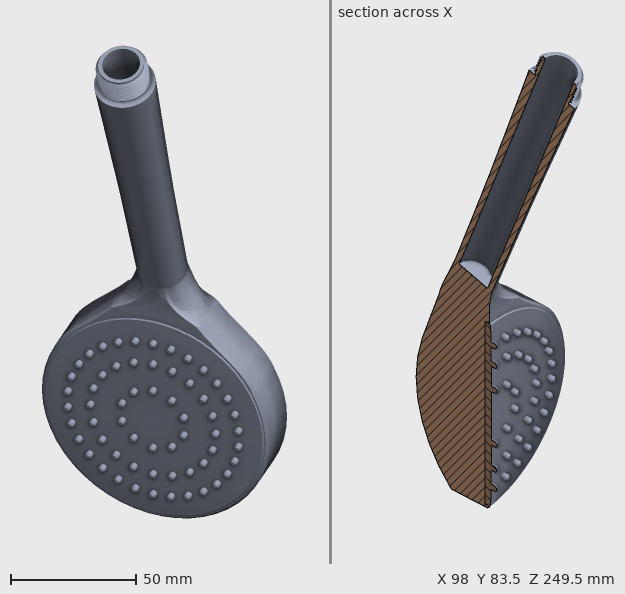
import cadquery as cq
import math


head_diameter = 98.0
head_radius = head_diameter / 2
rim_depth = 20.0
dome_height = 18.2
edge_chamfer = 1.2
dome_radius = (head_radius**2 + dome_height**2) / (2 * dome_height)
dome_center_y = rim_depth + dome_height - dome_radius

plate_radius = 47.2
plate_thickness = 2.5
plate_edge_chamfer = 0.5
plate_crown = 0.5
plate_crown_rim = plate_radius - plate_edge_chamfer
plate_crown_radius = (plate_crown_rim**2 + plate_crown**2) / (2 * plate_crown)
nozzle_diameter = 3.0
nozzle_height = 2.7
nozzle_root = 1.5
nozzle_chamfer = 0.7
nozzle_rings = [(14.0, 10), (27.0, 20), (37.0, 30)]

handle_tilt = 18.9
handle_base_y = 8.5
handle_base_z = 67.6
handle_base_radius = 10.2
lower_joint_height = 52.0
lower_joint_radius = 10.7
upper_joint_height = 75.4
upper_joint_radius = 11.2
shoulder_height = 124.8
shoulder_radius = 12.5
bore_diameter = 15.2

thread_length = 12.5
thread_radius = 10.5
thread_root_radius = 9.2
thread_pitch = 1.7
thread_turns = 6
thread_runout = (thread_length - thread_turns * thread_pitch) / 2

flank_angle = math.radians(54)
flank_radius = 45.7
flank_center_x = (head_radius + flank_radius) * math.cos(flank_angle)
flank_center_z = (head_radius + flank_radius) * math.sin(flank_angle)
flank_start_z = head_radius * math.sin(flank_angle)
ridge_angle = math.radians(17.5)
neck_start_z = dome_radius * math.sin(ridge_angle)
neck_start_ridge_y = dome_center_y + dome_radius * math.cos(ridge_angle)
lower_neck_heights = [neck_start_z, (neck_start_z + flank_start_z) / 2, flank_start_z, head_radius]
neck_waist_z = 57.5
neck_waist_corner = 7.5
front_corner_angle = 30.0
chamfer_corner_angle = 38.0
back_corner_angle = 30.0


def neck_half_width(z):
    if z <= flank_start_z:
        return math.sqrt(head_radius**2 - z**2)
    return flank_center_x - math.sqrt(flank_radius**2 - (z - flank_center_z) ** 2)


def ridge_y(z):
    return neck_start_ridge_y - (z - neck_start_z) * math.tan(ridge_angle)


def section_front(z, front_half_width):
    """Level workplane with the straight front edge of a neck section."""
    level_plane = cq.Plane((0, 0, z), (1, 0, 0), (0, 0, 1))
    return cq.Workplane(level_plane).moveTo(-front_half_width, 0).lineTo(front_half_width, 0)


def neck_section(z):
    """Section with a chamfered front, straight sides and an arched back."""
    half_width = neck_half_width(z)
    return (
        section_front(z, half_width - edge_chamfer)
        .lineTo(half_width, edge_chamfer)
        .lineTo(half_width, rim_depth)
        .threePointArc((0, ridge_y(z)), (-half_width, rim_depth))
        .lineTo(-half_width, edge_chamfer)
        .close()
        .val()
    )


def neck_waist_section():
    """Section with a chamfered front, rounded sides and an arched back."""
    half_width = neck_half_width(neck_waist_z)
    corner = neck_waist_corner
    return (
        section_front(neck_waist_z, corner - edge_chamfer)
        .lineTo(corner, edge_chamfer)
        .threePointArc((half_width, rim_depth / 2), (corner, rim_depth))
        .threePointArc((0, ridge_y(neck_waist_z)), (-corner, rim_depth))
        .threePointArc((-half_width, rim_depth / 2), (-corner, edge_chamfer))
        .close()
        .val()
    )


def on_handle_circle(angle_from_front):
    angle = math.radians(angle_from_front)
    return (handle_base_radius * math.sin(angle), -handle_base_radius * math.cos(angle))


def handle_base_section():
    """Lower end circle of the handle, divided into one arc for each side of a neck section."""
    tilt = math.radians(handle_tilt)
    base_plane = cq.Plane(
        (0, handle_base_y, handle_base_z), (1, 0, 0), (0, -math.sin(tilt), math.cos(tilt))
    )
    corners = [
        -front_corner_angle,
        front_corner_angle,
        chamfer_corner_angle,
        180 - back_corner_angle,
        180 + back_corner_angle,
        360 - chamfer_corner_angle,
        360 - front_corner_angle,
    ]
    section = cq.Workplane(base_plane).moveTo(*on_handle_circle(corners[0]))
    for start, end in zip(corners, corners[1:]):
        section = section.threePointArc(on_handle_circle((start + end) / 2), on_handle_circle(end))
    return section.close().val()


def make_head():
    """Domed disc, cut off level where the neck takes over."""
    disc = (
        cq.Workplane("XY")
        .lineTo(head_radius - edge_chamfer, 0)
        .lineTo(head_radius, edge_chamfer)
        .lineTo(head_radius, rim_depth)
        .threePointArc(
            (neck_start_z, dome_center_y + math.sqrt(dome_radius**2 - neck_start_z**2)),
            (0, rim_depth + dome_height),
        )
        .close()
        .revolve(360, (0, 0), (0, 1))
    )
    size = 2 * head_diameter
    above_neck_start = cq.Workplane("XY", origin=(0, 0, neck_start_z)).box(
        size, size, size, centered=(True, True, False)
    )
    return disc.cut(above_neck_start)


def make_neck():
    """Part beside the head with a flat front, then the part that closes in on the handle."""
    lower_sections = [neck_section(z) for z in lower_neck_heights]
    upper_sections = [neck_section(head_radius), neck_waist_section(), handle_base_section()]
    lower_neck = cq.Workplane(cq.Solid.makeLoft(lower_sections))
    upper_neck = cq.Workplane(cq.Solid.makeLoft(upper_sections))
    return lower_neck.union(upper_neck)


def place_on_handle_axis(shape):
    return shape.rotate((0, 0, 0), (1, 0, 0), handle_tilt).translate((0, handle_base_y, handle_base_z))


def make_handle():
    thread_end = shoulder_height + thread_length
    profile = (
        cq.Workplane("XZ")
        .lineTo(handle_base_radius, 0)
        .lineTo(lower_joint_radius, lower_joint_height)
        .lineTo(upper_joint_radius, upper_joint_height)
        .lineTo(shoulder_radius, shoulder_height)
        .lineTo(thread_root_radius, shoulder_height)
        .lineTo(thread_root_radius, shoulder_height + thread_runout)
    )
    for turn in range(thread_turns):
        turn_start = shoulder_height + thread_runout + turn * thread_pitch
        profile = profile.lineTo(thread_radius, turn_start + thread_pitch / 2)
        profile = profile.lineTo(thread_root_radius, turn_start + thread_pitch)
    profile = profile.lineTo(thread_root_radius, thread_end).lineTo(0, thread_end).close()
    return place_on_handle_axis(profile.revolve(360, (0, 0), (0, 1)))


def make_bore():
    """Water passage along the full length of the handle."""
    bore_length = shoulder_height + thread_length
    return place_on_handle_axis(cq.Workplane("XY").circle(bore_diameter / 2).extrude(bore_length))


def make_plate_recess():
    return cq.Workplane("XZ").circle(plate_radius).extrude(-plate_thickness)


def make_housing():
    body = make_head().union(make_neck()).union(make_handle())
    return body.cut(make_bore()).cut(make_plate_recess())


def crown_y(radius):
    """Y of the crowned plate face at a distance from the head axis."""
    drop = plate_crown_radius - math.sqrt(plate_crown_radius**2 - radius**2)
    return drop - plate_crown - plate_edge_chamfer


def make_nozzles(ring_radius, count):
    """One ring of nozzles with chamfered tips, standing on the crowned plate face."""
    tip_y = crown_y(ring_radius) - nozzle_height
    return (
        cq.Workplane("XZ", origin=(0, tip_y, 0))
        .polarArray(ring_radius, 90, 360, count)
        .circle(nozzle_diameter / 2)
        .extrude(-(nozzle_height + nozzle_root))
        .faces("<Y")
        .chamfer(nozzle_chamfer)
    )


def make_spray_plate():
    middle_radius = plate_crown_rim / 2
    plate = (
        cq.Workplane("XY")
        .moveTo(0, plate_thickness)
        .lineTo(plate_radius, plate_thickness)
        .lineTo(plate_radius, 0)
        .lineTo(plate_crown_rim, crown_y(plate_crown_rim))
        .threePointArc((middle_radius, crown_y(middle_radius)), (0, crown_y(0)))
        .close()
        .revolve(360, (0, 0), (0, 1))
    )
    for ring_radius, count in nozzle_rings:
        plate = plate.union(make_nozzles(ring_radius, count))
    return plate


housing = make_housing().solids()
spray_plate = make_spray_plate().solids()
result = cq.Compound.makeCompound([housing.val(), spray_plate.val()])